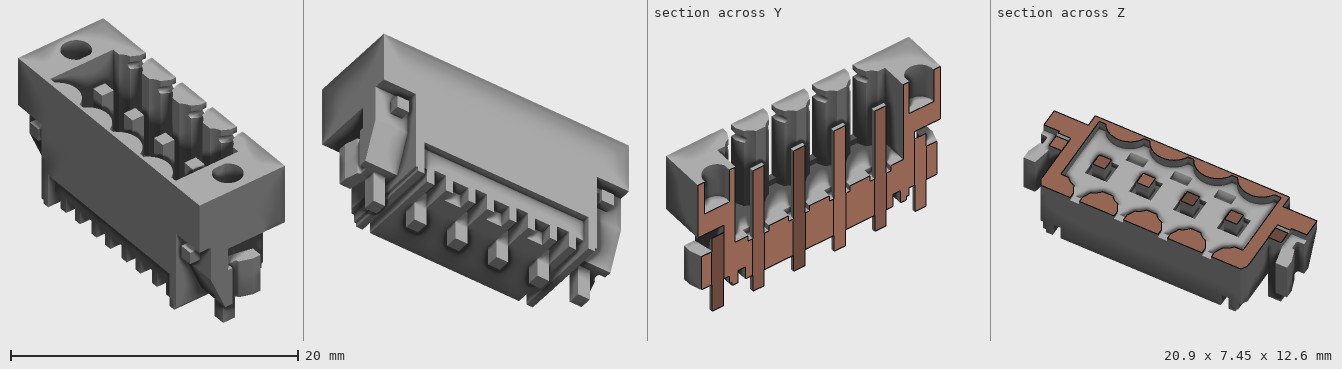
import cadquery as cq
import math


LENGTH = 20.95
HEIGHT = 11.05
BACK_Y = 3.95
FRONT_Y = -3.5
BODY_HALF = 7.75

POLES = 4
PITCH = 3.5
ROW_OFFSET = 0.02
PIN_SIZE = 1.0
TAIL_DEPTH = 1.5
PIN_TOP_Z = 9.87
ANCHOR_X = (POLES + 1) / 2 * PITCH
ANCHOR_TIP_Y = -3.4
ANCHOR_TOP_Z = 6.05
BEND_INNER = 0.5
BEND_OUTER = BEND_INNER + PIN_SIZE

CAVITY_HALF = 7.23
CAVITY_FLOOR_Z = 3.98
CAVITY_BACK_Y = 2.35
CAVITY_FRONT_Y = -3.15
BUMP_RADIUS = 1.72
BUMP_TOP_Y = -2.33
VALLEY_WIDTH = 0.63
VALLEY_Y = -3.27
NICHE_HALF_WIDTHS = (1.35, 1.05, 0.67, 0.35)
NICHE_YS = (CAVITY_BACK_Y, 2.65, 2.83, 3.45)
SLOT_FRONT_Y = NICHE_YS[-1]
SLOT_SILL_HEIGHT = 0.5
GROOVE_LENGTH = 1.72
GROOVE_HEIGHT = 0.63
GROOVE_DROP = 0.5
PIN_RECESS_SIZE = 1.75
PIN_RECESS_DEPTH = 0.5
POCKET_WIDTH = 1.42
POCKET_BACK_Y = -1.5
POCKET_RAMP_Y = -1.95
POCKET_FRONT_Y = -2.33
POCKET_DEPTH = 0.42

SKIRT_HALF = 7.0
SKIRT_TOP_Z = 2.85
SKIRT_DEPTH = 0.6
RUNNER_HALF = 6.37
RUNNER_GAP_Z = 1.13
WINDOW_WIDTH = 1.3
WINDOW_DEPTH = 0.96
PIN_SLOT_TOP_Z = 1.32
FOOT_STEP_WIDTH = 0.2
FOOT_STEP_HEIGHT = 0.31

FLANGE_Z = ANCHOR_TOP_Z
HOLE_DIAMETER = 2.22
HOLE_DEPTH = 3.0
HOLE_Y = 0.27
LUG_TOP_Z = 6.87
LUG_FRONT_Y = -2.51
LUG_BACK_Y = -1.0
LUG_BOTTOM_Z = 1.0
LUG_SLOPE_Z = 3.98
LUG_SLOPE_END_Y = -1.25
CLIP_TOP_Z = 4.17
CLIP_BACK_Y = 1.85
CLIP_LEAD_Y = 1.15
CLIP_LEAD_X = -10.15
CLIP_GROOVE_X = -9.9
CLIP_GROOVE_BACK_Y = 0.15
CLIP_FILLET = 0.19
CLIP_INNER_BACK_X = -9.57
CLIP_INNER_MID = (-9.39, 0.96)
CLIP_INNER_FRONT_Y = 0.35
RIB_BACK_Y = -0.63
RIB_CLEARANCE = 0.1
PAD_CHAMFER_Y = 3.48
PAD_END_X = -7.96

COS_45 = math.cos(math.radians(45))
END_SIDES = (-1, 1)
PIN_XS = [ROW_OFFSET + (i - (POLES - 1) / 2) * PITCH for i in range(POLES)]
BETWEEN_PIN_XS = [x + PITCH / 2 for x in PIN_XS[:-1]]
ANCHOR_OUTER_X = ANCHOR_X + PIN_SIZE / 2
ANCHOR_INNER_X = ANCHOR_X - PIN_SIZE / 2
RUNNER_FRONT_Y = FRONT_Y + SKIRT_DEPTH


def block(x0, x1, y0, y1, z0, z1):
    """Box between opposite corners."""
    return cq.Workplane("XY").box(x1 - x0, y1 - y0, z1 - z0, centered=False).translate((x0, y0, z0))


def centred_block(x, width, y0, y1, z0, z1):
    return block(x - width / 2, x + width / 2, y0, y1, z0, z1)


def on_side(shape, side):
    """Place a shape modelled at the -X end on the given end."""
    return shape if side < 0 else shape.mirror("YZ")


def yz_prism(points, x0, x1):
    """Prism along X from an outline of (y, z) points."""
    return cq.Workplane("YZ").polyline(points).close().extrude(x1 - x0).translate((x0, 0, 0))


def pin():
    return centred_block(0, PIN_SIZE, -PIN_SIZE / 2, PIN_SIZE / 2, -TAIL_DEPTH, PIN_TOP_Z)


def anchor():
    """L-shaped square pin: vertical tail, bend, and a horizontal end that passes through the lug."""
    half = PIN_SIZE / 2
    bend_y = -half - BEND_INNER
    bend_z = ANCHOR_TOP_Z - BEND_OUTER
    return (
        cq.Workplane("YZ")
        .moveTo(half, -TAIL_DEPTH)
        .lineTo(half, bend_z)
        .threePointArc(
            (bend_y + BEND_OUTER * COS_45, bend_z + BEND_OUTER * COS_45),
            (bend_y, ANCHOR_TOP_Z),
        )
        .lineTo(ANCHOR_TIP_Y, ANCHOR_TOP_Z)
        .lineTo(ANCHOR_TIP_Y, ANCHOR_TOP_Z - PIN_SIZE)
        .lineTo(bend_y, ANCHOR_TOP_Z - PIN_SIZE)
        .threePointArc(
            (bend_y + BEND_INNER * COS_45, bend_z + BEND_INNER * COS_45),
            (-half, bend_z),
        )
        .lineTo(-half, -TAIL_DEPTH)
        .close()
        .extrude(half, both=True)
    )


def niche(x):
    """Rear niche of the cavity, behind one pin."""
    (w0, w1, w2, w3), (y0, y1, y2, y3) = NICHE_HALF_WIDTHS, NICHE_YS
    return (
        cq.Workplane("XY", origin=(x, 0, CAVITY_FLOOR_Z))
        .moveTo(-w0, y0)
        .threePointArc((-w1, y1), (-w2, y2))
        .lineTo(-w3, y3)
        .lineTo(w3, y3)
        .lineTo(w2, y2)
        .threePointArc((w1, y1), (w0, y0))
        .close()
        .extrude(HEIGHT - CAVITY_FLOOR_Z)
    )


def rear_slot(x):
    """Slot through the rear wall behind one pin, crossed by a round-ended groove."""
    slot = centred_block(
        x, 2 * NICHE_HALF_WIDTHS[-1], SLOT_FRONT_Y, BACK_Y, CAVITY_FLOOR_Z + SLOT_SILL_HEIGHT, HEIGHT
    )
    groove = (
        cq.Workplane("XZ", origin=(x, BACK_Y, HEIGHT - GROOVE_DROP - GROOVE_HEIGHT / 2))
        .slot2D(GROOVE_LENGTH, GROOVE_HEIGHT)
        .extrude(BACK_Y - CAVITY_BACK_Y)
    )
    return slot.union(groove)


def cavity():
    """Mating space, open at the top."""
    space = block(
        -CAVITY_HALF, CAVITY_HALF, CAVITY_FRONT_Y, CAVITY_BACK_Y, CAVITY_FLOOR_Z, HEIGHT
    )
    for x in BETWEEN_PIN_XS:
        space = space.union(
            centred_block(x, VALLEY_WIDTH, VALLEY_Y, CAVITY_FRONT_Y, CAVITY_FLOOR_Z, HEIGHT)
        )
    for x in PIN_XS:
        bump = (
            cq.Workplane("XY", origin=(x, BUMP_TOP_Y - BUMP_RADIUS, CAVITY_FLOOR_Z))
            .circle(BUMP_RADIUS)
            .extrude(HEIGHT - CAVITY_FLOOR_Z)
        )
        space = space.cut(bump).union(niche(x))
    for x in PIN_XS:
        space = space.union(rear_slot(x))
        space = space.union(
            centred_block(
                x, PIN_RECESS_SIZE, -PIN_RECESS_SIZE / 2, PIN_RECESS_SIZE / 2,
                CAVITY_FLOOR_Z - PIN_RECESS_DEPTH, CAVITY_FLOOR_Z,
            )
        )
    for x in BETWEEN_PIN_XS:
        pocket_points = [
            (POCKET_BACK_Y, CAVITY_FLOOR_Z),
            (POCKET_BACK_Y, CAVITY_FLOOR_Z - POCKET_DEPTH),
            (POCKET_RAMP_Y, CAVITY_FLOOR_Z - POCKET_DEPTH),
            (POCKET_FRONT_Y, CAVITY_FLOOR_Z),
        ]
        space = space.union(yz_prism(pocket_points, x - POCKET_WIDTH / 2, x + POCKET_WIDTH / 2))
    return space


def underside():
    """Openings below the body: front skirt, end channels, windows, pin slots and foot steps."""
    space = block(-SKIRT_HALF, SKIRT_HALF, FRONT_Y, RUNNER_FRONT_Y, 0, SKIRT_TOP_Z)
    for side in END_SIDES:
        channel = block(-SKIRT_HALF, -RUNNER_HALF, FRONT_Y, BACK_Y, 0, RUNNER_GAP_Z)
        step = block(
            -BODY_HALF, -BODY_HALF + FOOT_STEP_WIDTH, FRONT_Y, BACK_Y, 0, FOOT_STEP_HEIGHT
        )
        space = space.union(on_side(channel, side)).union(on_side(step, side))
    for x in BETWEEN_PIN_XS:
        space = space.union(
            centred_block(
                x, WINDOW_WIDTH, RUNNER_FRONT_Y, RUNNER_FRONT_Y + WINDOW_DEPTH, 0, RUNNER_GAP_Z
            )
        )
    for x in PIN_XS:
        space = space.union(
            centred_block(x, PIN_SIZE, RUNNER_FRONT_Y, -PIN_SIZE / 2, 0, PIN_SLOT_TOP_Z)
        )
    return space


def flange():
    """Upper block of the -X end, with its blind hole."""
    hole = (
        cq.Workplane("XY", origin=(-ANCHOR_X, HOLE_Y, HEIGHT - HOLE_DEPTH))
        .circle(HOLE_DIAMETER / 2)
        .extrude(HOLE_DEPTH)
    )
    upper = block(-LENGTH / 2, -BODY_HALF, FRONT_Y, BACK_Y, FLANGE_Z, HEIGHT)
    notch = block(-LENGTH / 2, -BODY_HALF, FRONT_Y, LUG_FRONT_Y, FLANGE_Z, LUG_TOP_Z)
    return upper.cut(hole).cut(notch)


def lug():
    """Plate below the -X flange, sloped at the front, with a rib behind it beside the anchor."""
    plate_points = [
        (LUG_FRONT_Y, FLANGE_Z),
        (LUG_FRONT_Y, LUG_SLOPE_Z),
        (LUG_SLOPE_END_Y, LUG_BOTTOM_Z),
        (LUG_BACK_Y, LUG_BOTTOM_Z),
        (LUG_BACK_Y, FLANGE_Z),
    ]
    rib_top = ANCHOR_TOP_Z - PIN_SIZE - RIB_CLEARANCE
    rib_chamfer = RIB_BACK_Y - LUG_BACK_Y
    rib_points = [
        (LUG_BACK_Y, LUG_BOTTOM_Z),
        (RIB_BACK_Y, LUG_BOTTOM_Z),
        (RIB_BACK_Y, rib_top - rib_chamfer),
        (LUG_BACK_Y, rib_top),
    ]
    plate = yz_prism(plate_points, -LENGTH / 2, -BODY_HALF)
    rib = yz_prism(rib_points, -ANCHOR_OUTER_X, -BODY_HALF)
    return plate.union(rib)


def clip():
    """Upright plate outside the -X anchor tail, with a rounded vertical groove in its outer face."""
    outer_x = -LENGTH / 2
    inset = CLIP_FILLET * (1 - COS_45)
    fillet_x = CLIP_GROOVE_X - CLIP_FILLET
    arc_x = CLIP_GROOVE_X - inset
    return (
        cq.Workplane("XY", origin=(0, 0, LUG_BOTTOM_Z))
        .moveTo(outer_x, LUG_BACK_Y)
        .lineTo(outer_x, RIB_BACK_Y)
        .lineTo(fillet_x, RIB_BACK_Y)
        .threePointArc(
            (arc_x, RIB_BACK_Y + inset),
            (CLIP_GROOVE_X, RIB_BACK_Y + CLIP_FILLET),
        )
        .lineTo(CLIP_GROOVE_X, CLIP_GROOVE_BACK_Y - CLIP_FILLET)
        .threePointArc(
            (arc_x, CLIP_GROOVE_BACK_Y - inset),
            (fillet_x, CLIP_GROOVE_BACK_Y),
        )
        .lineTo(CLIP_LEAD_X, CLIP_GROOVE_BACK_Y)
        .lineTo(outer_x, CLIP_LEAD_Y)
        .lineTo(outer_x, CLIP_BACK_Y)
        .lineTo(CLIP_INNER_BACK_X, CLIP_BACK_Y)
        .threePointArc(CLIP_INNER_MID, (-ANCHOR_OUTER_X, CLIP_INNER_FRONT_Y))
        .lineTo(-ANCHOR_OUTER_X, LUG_BACK_Y)
        .close()
        .extrude(CLIP_TOP_Z - LUG_BOTTOM_Z)
    )


def pad():
    """Thickening of the body side behind the -X lug, with a slanted rear corner."""
    return (
        cq.Workplane("XY", origin=(0, 0, LUG_BOTTOM_Z))
        .polyline([
            (-BODY_HALF, LUG_BACK_Y),
            (-ANCHOR_INNER_X, LUG_BACK_Y),
            (-ANCHOR_INNER_X, PAD_CHAMFER_Y),
            (PAD_END_X, BACK_Y),
            (-BODY_HALF, BACK_Y),
        ])
        .close()
        .extrude(FLANGE_Z - LUG_BOTTOM_Z)
    )


def build_housing(inserts):
    """Housing with holes that match the given pins and anchors."""
    body = block(-BODY_HALF, BODY_HALF, FRONT_Y, BACK_Y, 0, HEIGHT)
    end = flange().union(lug()).union(clip()).union(pad())
    for side in END_SIDES:
        body = body.union(on_side(end, side))
    body = body.cut(cavity()).cut(underside())
    for insert in inserts:
        body = body.cut(insert)
    return body


pins = [pin().translate((x, 0, 0)) for x in PIN_XS]
anchors = [anchor().translate((side * ANCHOR_X, 0, 0)) for side in END_SIDES]
housing = build_housing(pins + anchors)

result = cq.Compound.makeCompound(
    [housing.solids().val(), *[p.val() for p in pins], *[a.val() for a in anchors]]
)